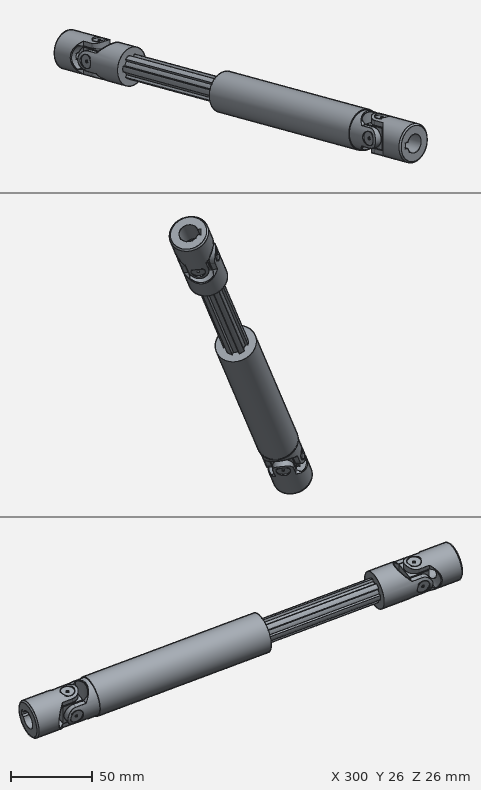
import cadquery as cq


TOTAL_LENGTH = 300.0
JOINT_OFFSET = 28.0
TUBE_START = 135.5
TUBE_LENGTH = 120.5
SPLINE_ENGAGEMENT = 60.0

YOKE_DIA = 25.0
END_CHAMFER = 1.0
ARM_WIDTH = 13.2
ARM_GAP = 15.0
RELIEF_START = 7.2

BORE_DIA = 12.0
KEYWAY_WIDTH = 4.0
KEYWAY_REACH = 7.8

CROSS_SIZE = 13.8
PIN_DIA = 9.0
PIN_REACH = 11.5
CENTRE_DIA = 1.8
CENTRE_DEPTH = 1.0

SPLINE_DIA = 16.0
SPLINE_ROOT_DIA = 12.5
TOOTH_COUNT = 6
TOOTH_WIDTH = 3.5
TUBE_DIA = 26.0

LEFT_JOINT = JOINT_OFFSET
RIGHT_JOINT = TOTAL_LENGTH - JOINT_OFFSET
SPLINE_START = LEFT_JOINT + JOINT_OFFSET
SPLINE_END = TUBE_START + SPLINE_ENGAGEMENT
TUBE_END = TUBE_START + TUBE_LENGTH
YOKE_RADIUS = YOKE_DIA / 2
ARM_HALF_WIDTH = ARM_WIDTH / 2

ORIGIN = (0, 0, 0)
X_AXIS = (1, 0, 0)
Z_AXIS = (0, 0, 1)


def rod(diameter, start, end):
    """Cylinder on the X axis from start to end."""
    return cq.Workplane("YZ", origin=(start, 0, 0)).circle(diameter / 2).extrude(end - start)


def spline_bar(start, end):
    """Round core with straight-sided teeth; each rib across the core makes two opposite teeth."""
    length = end - start
    bar = rod(SPLINE_ROOT_DIA, start, end)
    envelope = rod(SPLINE_DIA, start, end)
    for i in range(TOOTH_COUNT // 2):
        rib = cq.Workplane("XY").box(length, SPLINE_DIA, TOOTH_WIDTH, centered=(False, True, True))
        rib = rib.translate((start, 0, 0)).rotate(ORIGIN, X_AXIS, i * 360 / TOOTH_COUNT)
        bar = bar.union(rib.intersect(envelope))
    return bar


def arm_profile(body_length):
    """Prism with the outline seen along the pin: full-width body, 45 degree reliefs, round arm tip."""
    relief_end = RELIEF_START + YOKE_RADIUS - ARM_HALF_WIDTH
    return (
        cq.Workplane("XY")
        .moveTo(-body_length, -YOKE_RADIUS)
        .lineTo(-relief_end, -YOKE_RADIUS)
        .lineTo(-RELIEF_START, -ARM_HALF_WIDTH)
        .lineTo(0, -ARM_HALF_WIDTH)
        .threePointArc((ARM_HALF_WIDTH, 0), (0, ARM_HALF_WIDTH))
        .lineTo(-RELIEF_START, ARM_HALF_WIDTH)
        .lineTo(-relief_end, YOKE_RADIUS)
        .lineTo(-body_length, YOKE_RADIUS)
        .close()
        .extrude(YOKE_RADIUS, both=True)
    )


def arm_gap():
    """Space between the arms, with a round floor about the Y axis."""
    disc = cq.Workplane("XZ").circle(YOKE_RADIUS).extrude(YOKE_RADIUS, both=True)
    slab = cq.Workplane("XY").box(YOKE_DIA, YOKE_DIA, ARM_GAP)
    return disc.intersect(slab)


def fork(body_length):
    blank = rod(YOKE_DIA, -body_length, ARM_HALF_WIDTH).intersect(arm_profile(body_length))
    pin_holes = cq.Workplane("XY").circle(PIN_DIA / 2).extrude(YOKE_RADIUS, both=True)
    return blank.cut(arm_gap()).cut(pin_holes)


def make_end_yoke():
    """Outer yoke with a keyed bore that opens into the gap between the arms."""
    yoke = fork(JOINT_OFFSET).faces("<X").chamfer(END_CHAMFER)
    bore = rod(BORE_DIA, -JOINT_OFFSET, 0)
    keyway = (
        cq.Workplane("XY")
        .box(JOINT_OFFSET, KEYWAY_REACH, KEYWAY_WIDTH, centered=(False, False, True))
        .translate((-JOINT_OFFSET, -KEYWAY_REACH, 0))
    )
    return yoke.cut(bore).cut(keyway)


def make_cross(joint_x):
    """Cube with pins along Y and Z, and a small centre hole in each pin end."""
    body = cq.Workplane("XY").box(CROSS_SIZE, CROSS_SIZE, CROSS_SIZE)
    for plane in ("XY", "XZ"):
        body = body.union(cq.Workplane(plane).circle(PIN_DIA / 2).extrude(PIN_REACH, both=True))
        for side in (1, -1):
            pin_end = cq.Workplane(plane).workplane(offset=side * PIN_REACH)
            body = body.cut(pin_end.circle(CENTRE_DIA / 2).extrude(-side * CENTRE_DEPTH))
    return body.translate((joint_x, 0, 0))


def make_splined_shaft():
    """Yoke that opens toward -X with its arms at +Y and -Y, and the spline behind it."""
    yoke = fork(SPLINE_START - LEFT_JOINT).rotate(ORIGIN, Z_AXIS, 180).rotate(ORIGIN, X_AXIS, 90)
    return yoke.translate((LEFT_JOINT, 0, 0)).union(spline_bar(SPLINE_START, SPLINE_END))


def make_tube():
    """Tube with a splined socket, and a yoke that opens toward +X with its arms at +Y and -Y."""
    sleeve = rod(TUBE_DIA, TUBE_START, TUBE_END).cut(spline_bar(TUBE_START, SPLINE_END))
    yoke = fork(RIGHT_JOINT - TUBE_END).rotate(ORIGIN, X_AXIS, 90)
    return sleeve.union(yoke.translate((RIGHT_JOINT, 0, 0)))


left_yoke = make_end_yoke().translate((LEFT_JOINT, 0, 0))
right_yoke = make_end_yoke().mirror("YZ").translate((RIGHT_JOINT, 0, 0))
splined_shaft = make_splined_shaft()
tube = make_tube()
crosses = [make_cross(joint_x) for joint_x in (LEFT_JOINT, RIGHT_JOINT)]

bodies = [left_yoke, right_yoke, splined_shaft, tube, *crosses]
result = cq.Compound.makeCompound([body.solids().val() for body in bodies])